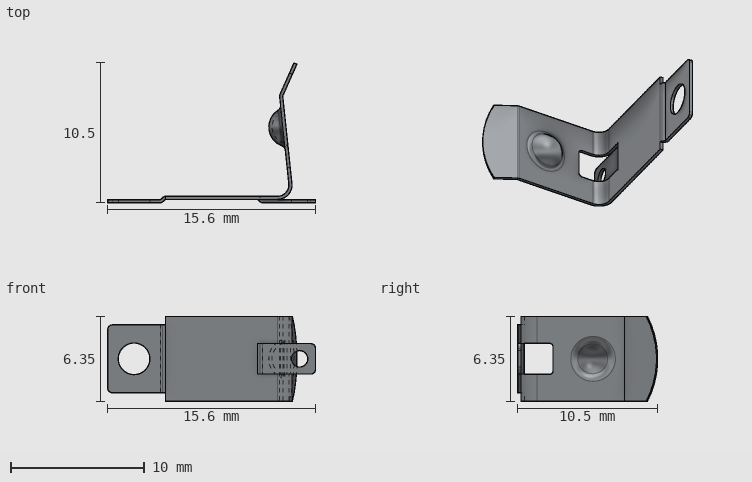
import cadquery as cq
import math

total_length = 15.57
thickness = 0.25
strip_width = 6.35

joggle_length = 0.37
tab_corner_radius = 0.37
wide_tab_width = 5.1
wide_hole_x = 1.98
wide_hole_diameter = 2.35
narrow_tab_width = 2.3
narrow_hole_x = 14.37
narrow_hole_diameter = 1.21

plate_start_x = 4.33
window_start_x = 11.21
window_top_y = 2.65
window_corner_radius = 0.25

bend_start_x = 12.72
bend_outer_radius = 1.09
bend_inner_radius = bend_outer_radius - thickness
wall_lean = math.radians(6)
wall_length = 6.59
lip_flare = math.radians(24)
lip_length = 2.62
lip_arc_rise = 0.84

dome_y = 5.65
dome_radius = 1.5
dome_rim_radius = 1.68
dome_fillet_radius = 0.37

bend_center = cq.Vector(bend_start_x, thickness + bend_outer_radius)
wall_direction = cq.Vector(-math.sin(wall_lean), math.cos(wall_lean))
wall_inward = cq.Vector(-math.cos(wall_lean), -math.sin(wall_lean))
lip_direction = cq.Vector(math.sin(lip_flare), math.cos(lip_flare))
lip_inward = cq.Vector(-math.cos(lip_flare), math.sin(lip_flare))
wall_start = bend_center - wall_inward * bend_outer_radius
lip_start = wall_start + wall_direction * wall_length
lip_end = lip_start + lip_direction * lip_length


def xy(point):
    return point.x, point.y


def make_strip():
    """Base plate, bend, wall and lip as one constant-thickness section."""
    middle_angle = (wall_lean - math.pi / 2) / 2
    middle_direction = cq.Vector(math.cos(middle_angle), math.sin(middle_angle))
    lip_bend_middle = (wall_inward + lip_inward).normalized()
    return (
        cq.Workplane("XY", origin=(0, 0, -strip_width / 2))
        .moveTo(plate_start_x, thickness)
        .lineTo(bend_start_x, thickness)
        .threePointArc(xy(bend_center + middle_direction * bend_outer_radius), xy(wall_start))
        .lineTo(*xy(lip_start))
        .lineTo(*xy(lip_end))
        .lineTo(*xy(lip_end + lip_inward * thickness))
        .lineTo(*xy(lip_start + lip_inward * thickness))
        .threePointArc(
            xy(lip_start + lip_bend_middle * thickness),
            xy(lip_start + wall_inward * thickness),
        )
        .lineTo(*xy(wall_start + wall_inward * thickness))
        .threePointArc(
            xy(bend_center + middle_direction * bend_inner_radius),
            (bend_start_x, 2 * thickness),
        )
        .lineTo(plate_start_x, 2 * thickness)
        .close()
        .extrude(strip_width)
    )


def round_lip(strip):
    """Trim the free end of the lip to a shallow arc across its width."""
    half_width = strip_width / 2
    lip_plane = cq.Plane(origin=lip_end.toTuple(), xDir=(0, 0, 1), normal=lip_inward.toTuple())
    waste = (
        cq.Workplane(lip_plane)
        .moveTo(-half_width, -lip_arc_rise)
        .threePointArc((0, 0), (half_width, -lip_arc_rise))
        .lineTo(half_width, thickness)
        .lineTo(-half_width, thickness)
        .close()
        .extrude(2 * thickness, both=True)
    )
    return strip.cut(waste)


def cut_window(strip):
    """Opening from the plate through the bend into the foot of the wall."""
    depth_y = window_top_y - thickness
    length_x = bend_start_x + 2 * bend_outer_radius - window_start_x
    window = (
        cq.Workplane("XY")
        .box(length_x, depth_y, narrow_tab_width, centered=(False, False, True))
        .edges("|X and >Y")
        .fillet(window_corner_radius)
        .translate((window_start_x, thickness, 0))
    )
    return strip.cut(window)


def make_tab(joggle_x, direction, end_x, width, hole_x, hole_diameter):
    """Flat tab one thickness below the plate, joined to it at joggle_x by a joggle."""
    slope = math.asin(thickness / joggle_length)
    half_slope = slope / 2
    flat_x = joggle_x + direction * joggle_length

    def on_bend(center_x, side, angle):
        x = center_x + side * direction * thickness * math.sin(angle)
        return x, thickness + side * thickness * math.cos(angle)

    joggle = (
        cq.Workplane("XY", origin=(0, 0, -width / 2))
        .moveTo(joggle_x, thickness)
        .lineTo(joggle_x, 2 * thickness)
        .threePointArc(on_bend(joggle_x, 1, half_slope), on_bend(joggle_x, 1, slope))
        .lineTo(flat_x, thickness)
        .lineTo(flat_x, 0)
        .threePointArc(on_bend(flat_x, -1, half_slope), on_bend(flat_x, -1, slope))
        .close()
        .extrude(width)
    )
    flat = (
        cq.Workplane("XY")
        .box(abs(end_x - flat_x), thickness, width)
        .edges("|Y and >X" if direction > 0 else "|Y and <X")
        .fillet(tab_corner_radius)
        .translate(((flat_x + end_x) / 2, thickness / 2, 0))
    )
    hole = (
        cq.Workplane("XZ", origin=(hole_x, 0, 0))
        .circle(hole_diameter / 2)
        .extrude(-thickness)
    )
    return joggle.union(flat.cut(hole))


def dome_body(sphere_radius, fillet_radius, base_height):
    """Round dome with a flared foot, its base offset from the wall's inner face."""
    center_gap = dome_radius + dome_fillet_radius
    sphere_height = dome_fillet_radius - math.sqrt(center_gap**2 - dome_rim_radius**2)
    tangent_angle = math.asin(dome_rim_radius / center_gap)

    def on_sphere(angle):
        return sphere_radius * math.sin(angle), sphere_height + sphere_radius * math.cos(angle)

    def on_fillet(angle):
        x = dome_rim_radius - fillet_radius * math.sin(angle)
        return x, dome_fillet_radius - fillet_radius * math.cos(angle)

    wall_x = lip_start.x + (lip_start.y - dome_y) * math.tan(wall_lean)
    wall_point = cq.Vector(wall_x, dome_y) + wall_inward * thickness
    plane = cq.Plane(
        origin=wall_point.toTuple(), xDir=(0, 0, -1), normal=wall_direction.toTuple()
    )
    return (
        cq.Workplane(plane)
        .moveTo(0, base_height)
        .lineTo(dome_rim_radius, base_height)
        .threePointArc(on_fillet(tangent_angle / 2), on_fillet(tangent_angle))
        .threePointArc(on_sphere(tangent_angle / 2), on_sphere(0))
        .close()
        .revolve(360, (0, 0), (0, 1))
    )


strip = cut_window(round_lip(make_strip()))
dome = dome_body(dome_radius, dome_fillet_radius, 0)
dome_hollow = dome_body(dome_radius - thickness, dome_fillet_radius + thickness, -thickness)
wide_tab = make_tab(
    plate_start_x, -1, 0, wide_tab_width, wide_hole_x, wide_hole_diameter
)
narrow_tab = make_tab(
    window_start_x, 1, total_length, narrow_tab_width, narrow_hole_x, narrow_hole_diameter
)
result = strip.union(dome).cut(dome_hollow).union(wide_tab).union(narrow_tab)